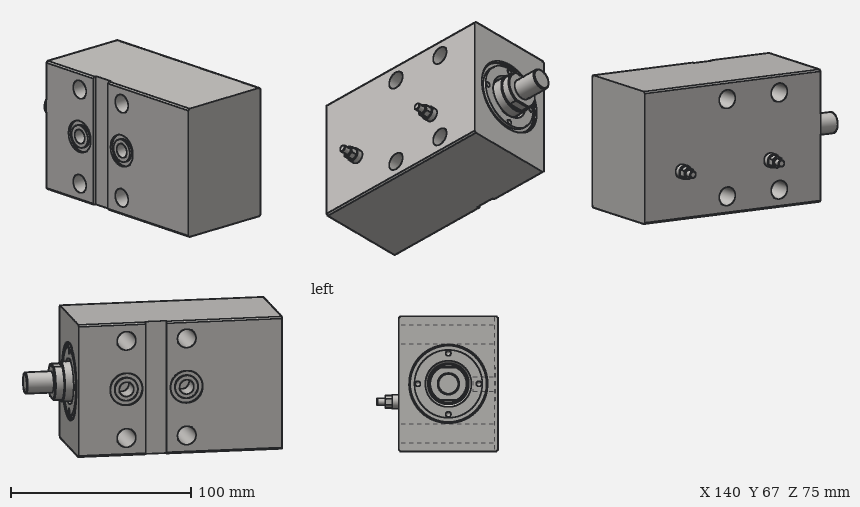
import cadquery as cq
import math


HOUSING_LENGTH = 115.0
HOUSING_WIDTH = 55.0
HOUSING_HEIGHT = 75.0
HOUSING_CHAMFER = 1.0
SIDE_FACE_Y = -HOUSING_WIDTH / 2
SENSOR_FACE_Y = HOUSING_WIDTH / 2

SLOT_START_X = 38.0
SLOT_WIDTH = 11.9
SLOT_DEPTH = 2.1

HOLE_COLUMNS_X = (27.0, 61.0)
MOUNTING_HOLE_DIAMETER = 10.5
MOUNTING_HOLE_SPACING_Z = 55.0
PORT_DIAMETER = 8.1
PORT_DEPTH = 14.0
SEAL_GROOVE_OUTER_DIAMETER = 18.2
SEAL_GROOVE_INNER_DIAMETER = 13.0
SEAL_GROOVE_DEPTH = 1.4

GLAND_DIAMETER = 37.7
GLAND_LENGTH = 14.0
SEAT_DIAMETER = 42.3
SEAT_DEPTH = 1.8
SEAT_CHAMFER = 0.7
GLAND_MOUTH_DIAMETER = 25.6
GLAND_MOUTH_DEPTH = 1.7
GLAND_BORE_DIAMETER = 22.8
SPANNER_HOLE_COUNT = 4
SPANNER_HOLE_DIAMETER = 3.0
SPANNER_HOLE_DEPTH = 3.5
SPANNER_HOLE_RADIUS = 17.0
DRILL_POINT_ANGLE = 118

ROD_DIAMETER = 22.3
ROD_PROTRUSION = 4.9
COLLAR_DIAMETER = 21.0
COLLAR_END = 10.0
FLATS_WIDTH = 18.9
ROD_CHAMFER = 0.49

STUD_DIAMETER = 12.0
OVERALL_LENGTH = 140
STUD_END = OVERALL_LENGTH - HOUSING_LENGTH
STUD_CHAMFER = 0.5

SENSORS_X = (33.0, 90.9)
SENSOR_Z = -10.0
SENSOR_BASE_DIAMETER = 7.8
SENSOR_BASE_HEIGHT = 3.6
SENSOR_HEX_ACROSS_FLATS = 6.0
SENSOR_HEX_HEIGHT = 3.9
SENSOR_TIP_DIAMETER = 3.9
SENSOR_HEIGHT = 12.0
SENSOR_TIP_CHAMFER = 0.3
SENSOR_HEX_CHAMFER = 0.4
HEX_SIDES = 6


def cylinder_x(diameter, start, end):
    """Cylinder on the rod axis between two X positions."""
    return cq.Workplane("YZ", origin=(start, 0, 0)).circle(diameter / 2).extrude(end - start)


def bore_y(points, diameter, depth):
    """Cylinders sunk into the side face at (x, z) points."""
    face = cq.Workplane("XZ", origin=(0, SIDE_FACE_Y, 0))
    return face.pushPoints(points).circle(diameter / 2).extrude(-depth)


def make_housing():
    block = cq.Workplane("XY").box(
        HOUSING_LENGTH, HOUSING_WIDTH, HOUSING_HEIGHT, centered=(False, True, True)
    )
    block = block.edges("|X").chamfer(HOUSING_CHAMFER)

    slot = cq.Workplane("XY").box(
        SLOT_WIDTH, SLOT_DEPTH, HOUSING_HEIGHT, centered=(False, False, True)
    )
    block = block.cut(slot.translate((SLOT_START_X, SIDE_FACE_Y, 0)))

    row_z = MOUNTING_HOLE_SPACING_Z / 2
    hole_points = [(x, z) for x in HOLE_COLUMNS_X for z in (-row_z, row_z)]
    block = block.cut(bore_y(hole_points, MOUNTING_HOLE_DIAMETER, HOUSING_WIDTH))

    port_points = [(x, 0) for x in HOLE_COLUMNS_X]
    groove = bore_y(port_points, SEAL_GROOVE_OUTER_DIAMETER, SEAL_GROOVE_DEPTH)
    groove = groove.cut(bore_y(port_points, SEAL_GROOVE_INNER_DIAMETER, SEAL_GROOVE_DEPTH))
    block = block.cut(groove)
    block = block.cut(bore_y(port_points, PORT_DIAMETER, PORT_DEPTH))

    block = block.cut(cylinder_x(GLAND_DIAMETER, 0, GLAND_LENGTH))
    block = block.cut(cylinder_x(SEAT_DIAMETER, 0, SEAT_DEPTH))
    mouth = cq.Solid.makeCone(
        SEAT_DIAMETER / 2 + SEAT_CHAMFER,
        SEAT_DIAMETER / 2,
        SEAT_CHAMFER,
        dir=cq.Vector(1, 0, 0),
    )
    return block.cut(mouth)


def make_spanner_hole():
    """Blind hole along +X with a conical bottom, starting at the origin."""
    radius = SPANNER_HOLE_DIAMETER / 2
    point_depth = radius / math.tan(math.radians(DRILL_POINT_ANGLE / 2))
    profile = (
        cq.Workplane("XY")
        .lineTo(0, radius)
        .lineTo(SPANNER_HOLE_DEPTH, radius)
        .lineTo(SPANNER_HOLE_DEPTH + point_depth, 0)
        .close()
    )
    return profile.revolve(360, (0, 0, 0), (1, 0, 0))


def make_gland():
    gland = cylinder_x(GLAND_DIAMETER, 0, GLAND_LENGTH)
    gland = gland.cut(cylinder_x(GLAND_BORE_DIAMETER, 0, GLAND_LENGTH))
    mouth = cq.Solid.makeCone(
        GLAND_MOUTH_DIAMETER / 2,
        GLAND_BORE_DIAMETER / 2,
        GLAND_MOUTH_DEPTH,
        dir=cq.Vector(1, 0, 0),
    )
    gland = gland.cut(mouth)
    hole = make_spanner_hole().translate((0, 0, SPANNER_HOLE_RADIUS))
    for index in range(SPANNER_HOLE_COUNT):
        angle = index * 360 / SPANNER_HOLE_COUNT
        gland = gland.cut(hole.rotate((0, 0, 0), (1, 0, 0), angle))
    return gland


def make_rod():
    shank = cylinder_x(ROD_DIAMETER, -ROD_PROTRUSION, GLAND_LENGTH)
    shank = shank.faces("<X").chamfer(ROD_CHAMFER)
    collar = cylinder_x(COLLAR_DIAMETER, -COLLAR_END, -ROD_PROTRUSION)
    flats = cq.Workplane("XY").box(2 * COLLAR_END, COLLAR_DIAMETER, FLATS_WIDTH)
    collar = collar.intersect(flats).faces("<X").chamfer(ROD_CHAMFER)
    rod = shank.union(collar)
    stud = cylinder_x(STUD_DIAMETER, -STUD_END, -COLLAR_END).faces("<X").chamfer(STUD_CHAMFER)
    return rod.union(stud)


def make_sensor(x):
    face = cq.Workplane("XZ", origin=(x, SENSOR_FACE_Y, SENSOR_Z))
    base = face.circle(SENSOR_BASE_DIAMETER / 2).extrude(-SENSOR_BASE_HEIGHT)
    hex_top = SENSOR_BASE_HEIGHT + SENSOR_HEX_HEIGHT
    across_corners = SENSOR_HEX_ACROSS_FLATS / math.cos(math.pi / HEX_SIDES)
    corner_up = face.transformed(rotate=(0, 0, 180 / HEX_SIDES))
    hexagon = corner_up.polygon(HEX_SIDES, across_corners).extrude(-hex_top)
    corner_rounding = face.circle(across_corners / 2).extrude(-hex_top)
    corner_rounding = corner_rounding.faces(">Y").chamfer(SENSOR_HEX_CHAMFER)
    hexagon = hexagon.intersect(corner_rounding)
    tip = face.circle(SENSOR_TIP_DIAMETER / 2).extrude(-SENSOR_HEIGHT)
    tip = tip.faces(">Y").chamfer(SENSOR_TIP_CHAMFER)
    return base.union(hexagon).union(tip)


housing = make_housing()
gland = make_gland()
rod = make_rod()
sensors = [make_sensor(x) for x in SENSORS_X]

result = cq.Compound.makeCompound(
    [housing.val(), gland.val(), rod.val(), *[sensor.val() for sensor in sensors]]
)